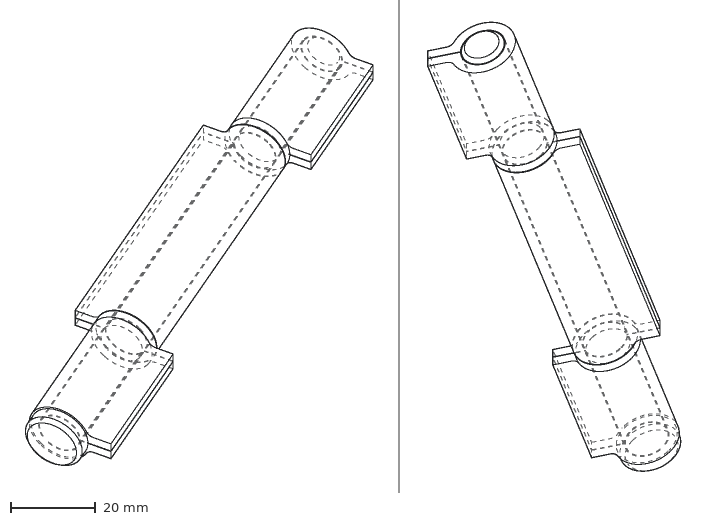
import cadquery as cq
import math

total_length = 144.0
head_length = 4.0
tail_length = 1.0
washer_thickness = 2.3
end_knuckle_length = 33.0
washer_clearance = 0.22
middle_knuckle_length = (
    total_length
    - head_length
    - tail_length
    - 2 * (end_knuckle_length + washer_thickness + washer_clearance)
)

knuckle_diameter = 16.0
bore_diameter = 11.0
wing_reach = 13.5
wing_thickness = 5.0
slit_width = 0.1
root_fillet = 2.0

pin_diameter = 10.5
pin_tail_chamfer = 1.0
head_diameter = 15.0
head_chamfer = 1.0

knuckle_radius = knuckle_diameter / 2
bore_radius = bore_diameter / 2

head_end = -total_length / 2
front_knuckle_start = head_end + head_length
front_washer_start = front_knuckle_start + end_knuckle_length
middle_knuckle_start = front_washer_start + washer_thickness + washer_clearance
rear_washer_start = middle_knuckle_start + middle_knuckle_length + washer_clearance
rear_knuckle_start = rear_washer_start + washer_thickness


def plane_at(y):
    """XZ sketch plane at station y, extruding toward +Y, with local x along -X."""
    return cq.Workplane(cq.Plane(origin=(0, y, 0), xDir=(-1, 0, 0), normal=(0, 1, 0)))


def rod(y, diameter, length):
    return plane_at(y).circle(diameter / 2).extrude(length)


def make_leaf(y, length, side):
    """Knuckle with a pair of wings split by a slit; side is +1 for wings toward +X, -1 for -X."""
    half_wing = wing_thickness / 2
    centre_z = half_wing + root_fillet
    centre_distance = knuckle_radius + root_fillet
    flat_start = math.sqrt(centre_distance**2 - centre_z**2)
    barrel_x = flat_start * knuckle_radius / centre_distance
    barrel_z = centre_z * knuckle_radius / centre_distance
    barrel_angle = math.atan2(-centre_z, -flat_start)
    middle_angle = (barrel_angle - math.pi / 2) / 2
    middle_x = flat_start + root_fillet * math.cos(middle_angle)
    middle_z = centre_z + root_fillet * math.sin(middle_angle)

    out = -side
    body = (
        plane_at(y)
        .moveTo(out * wing_reach, -half_wing)
        .lineTo(out * wing_reach, half_wing)
        .lineTo(out * flat_start, half_wing)
        .threePointArc((out * middle_x, middle_z), (out * barrel_x, barrel_z))
        .threePointArc((-out * knuckle_radius, 0), (out * barrel_x, -barrel_z))
        .threePointArc((out * middle_x, -middle_z), (out * flat_start, -half_wing))
        .close()
        .extrude(length)
    )
    slit = plane_at(y).center(out * wing_reach / 2, 0).rect(wing_reach, slit_width).extrude(length)
    return body.cut(rod(y, bore_diameter, length)).cut(slit)


def make_washer(y):
    return plane_at(y).circle(knuckle_radius).circle(bore_radius).extrude(washer_thickness)


def make_pin():
    head = rod(head_end, head_diameter, head_length).faces("<Y").chamfer(head_chamfer)
    shank = rod(front_knuckle_start, pin_diameter, total_length - head_length)
    return head.union(shank.faces(">Y").chamfer(pin_tail_chamfer))


pin = make_pin()
middle_leaf = make_leaf(middle_knuckle_start, middle_knuckle_length, -1)
end_leaves = [make_leaf(y, end_knuckle_length, 1) for y in (front_knuckle_start, rear_knuckle_start)]
washers = [make_washer(y) for y in (front_washer_start, rear_washer_start)]

result = cq.Compound.makeCompound(
    [pin.val(), middle_leaf.val()]
    + [leaf.val() for leaf in end_leaves]
    + [washer.val() for washer in washers]
)